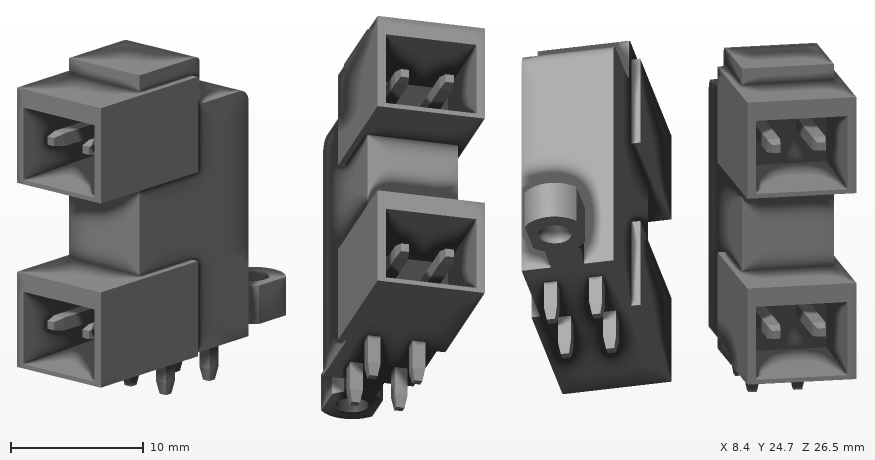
import cadquery as cq
import math


block_width = 7.08
block_front_y = 5.2
block_rear_y = 17.68
block_height = 23.3
shelf_z = 19.5
shelf_front_y = 12.08
rear_edge_radius = 1.0
step_radius = 0.5

socket_width = 8.4
socket_height = 7.5
socket_depth = 11.1
socket_pitch = 14.5
socket_base_heights = [0.0, socket_pitch]

cavity_width = block_width
cavity_floor = 0.35
cavity_roof = 6.05
cavity_depth = 8.0
cavity_draft_angle = 1.0

ear_radius = 2.52
ear_width = 4.0
ear_thickness = 3.02
ear_stem_width = 2.52
ear_hole_diameter = 2.52
ear_centre_y = 22.18

pin_size = 1.0
pin_tip_size = 0.64
pin_tip_length = 1.0
pin_pitch = 3.5
pin_height_in_socket = 3.5
pin_front_y = 1.05
pin_end_z = -3.2
lower_pin_leg_y = 10.2
upper_pin_leg_y = 15.18
pin_leg_positions = [lower_pin_leg_y, upper_pin_leg_y]


def make_block():
    """Stepped block with its two rear edges and the step corner rounded."""
    outline = [
        (block_front_y, 0),
        (block_rear_y, 0),
        (block_rear_y, shelf_z),
        (shelf_front_y, shelf_z),
        (shelf_front_y, block_height),
        (block_front_y, block_height),
    ]
    block = cq.Workplane("YZ").polyline(outline).close().extrude(block_width / 2, both=True)
    rear_edge = cq.selectors.NearestToPointSelector((0, block_rear_y, shelf_z))
    inner_edge = cq.selectors.NearestToPointSelector((0, shelf_front_y, shelf_z))
    upper_edge = cq.selectors.NearestToPointSelector((0, shelf_front_y, block_height))
    block = block.edges(rear_edge).fillet(rear_edge_radius)
    block = block.edges(inner_edge).fillet(step_radius)
    return block.edges(upper_edge).fillet(step_radius)


def make_socket(base_z):
    """Solid box that surrounds one cavity."""
    return cq.Workplane("XY").workplane(offset=base_z).center(0, socket_depth / 2).rect(
        socket_width, socket_depth).extrude(socket_height)


def make_cavity(base_z):
    """Cavity that narrows in height towards its back wall."""
    rise = cavity_depth * math.tan(math.radians(cavity_draft_angle))
    outline = [
        (0, base_z + cavity_floor),
        (cavity_depth, base_z + cavity_floor + rise),
        (cavity_depth, base_z + cavity_roof - rise),
        (0, base_z + cavity_roof),
    ]
    return cq.Workplane("YZ").polyline(outline).close().extrude(cavity_width / 2, both=True)


def make_ear():
    """Round ear with flattened sides, joined to the block by a stem."""
    stem_length = ear_centre_y - block_rear_y
    disc = cq.Workplane("XY").center(0, ear_centre_y).circle(ear_radius).extrude(ear_thickness)
    flats = cq.Workplane("XY").center(0, ear_centre_y).rect(ear_width, 2 * ear_radius).extrude(ear_thickness)
    stem = (
        cq.Workplane("XY")
        .center(0, block_rear_y + stem_length / 2)
        .rect(ear_stem_width, stem_length)
        .extrude(ear_thickness)
    )
    hole = cq.Workplane("XY").center(0, ear_centre_y).circle(ear_hole_diameter / 2).extrude(ear_thickness)
    return disc.intersect(flats).union(stem).cut(hole)


def make_tapered_tip(base):
    """Tip that narrows from the wire size to the end size, on the given base plane."""
    taper_angle = math.degrees(math.atan((pin_size - pin_tip_size) / 2 / pin_tip_length))
    return cq.Workplane(base).rect(pin_size, pin_size).extrude(pin_tip_length, taper=taper_angle)


def make_pin(centre_x, contact_z, leg_y):
    """L-shaped pin: a contact along Y in the socket and a leg down through the mounting face."""
    contact_start_y = pin_front_y + pin_tip_length
    leg_start_z = pin_end_z + pin_tip_length
    outline = [
        (contact_start_y, contact_z - pin_size / 2),
        (leg_y - pin_size / 2, contact_z - pin_size / 2),
        (leg_y - pin_size / 2, leg_start_z),
        (leg_y + pin_size / 2, leg_start_z),
        (leg_y + pin_size / 2, contact_z + pin_size / 2),
        (contact_start_y, contact_z + pin_size / 2),
    ]
    wire = (
        cq.Workplane("YZ", origin=(centre_x, 0, 0))
        .polyline(outline)
        .close()
        .extrude(pin_size / 2, both=True)
    )
    contact_base = cq.Plane(origin=(centre_x, contact_start_y, contact_z), xDir=(1, 0, 0), normal=(0, -1, 0))
    leg_base = cq.Plane(origin=(centre_x, leg_y, leg_start_z), xDir=(1, 0, 0), normal=(0, 0, -1))
    return wire.union(make_tapered_tip(contact_base)).union(make_tapered_tip(leg_base))


def make_housing(pins):
    """Block, sockets and ear in one piece, with the cavities and the pin passages cut out."""
    housing = make_block().union(make_ear())
    for base_z in socket_base_heights:
        housing = housing.union(make_socket(base_z))
    for base_z in socket_base_heights:
        housing = housing.cut(make_cavity(base_z))
    for pin in pins:
        housing = housing.cut(pin)
    return housing


pins = []
for base_z, leg_y in zip(socket_base_heights, pin_leg_positions):
    for centre_x in [-pin_pitch / 2, pin_pitch / 2]:
        pins.append(make_pin(centre_x, base_z + pin_height_in_socket, leg_y))

housing = make_housing(pins)

result = cq.Compound.makeCompound([housing.val(), *[pin.val() for pin in pins]])